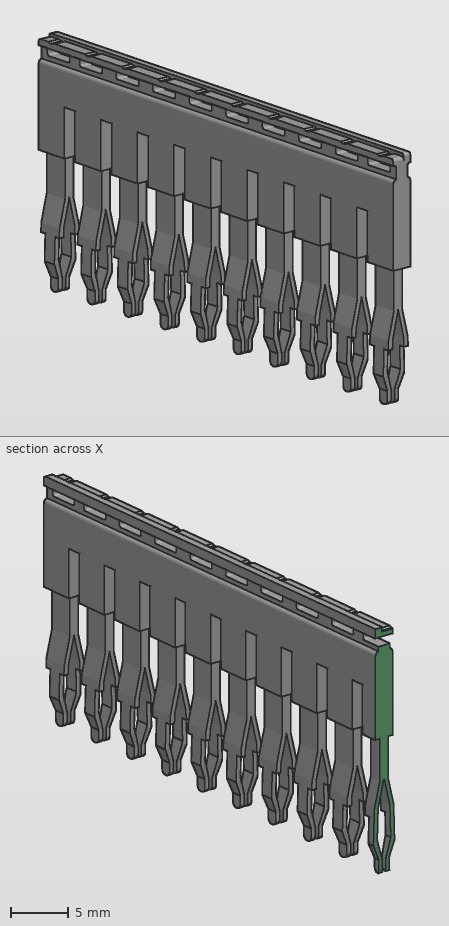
import cadquery as cq
import math

length = 48.05
height = 23.0
pin_count = 10

housing_thickness = 1.95
housing_depth = 10.45
leg_width = 3.5
leg_gap_top_depth = 5.75
pitch = (length - leg_width) / (pin_count - 1)

lip_width = 0.75
lip_front_y = housing_thickness / 2 - lip_width
ledge_width = housing_thickness - lip_width
ledge_depth = 0.3
head_depth = 0.9
head_root_radius = 0.25
head_end_radius = 0.3
neck_thickness = 1.3
shoulder_radius = 0.45
shoulder_end_depth = 2.6

window_width = 3.05
window_bottom_depth = 1.75
window_corner_radius = 0.25
end_window_shift = 0.6

notch_width = 0.85
notch_floor_width = 0.3
notch_drop = 0.12

pin_half_thickness = 0.5
split_depth = 14.25
bend_start_depth = 14.3
bend_end_depth = 16.9
bend_outer = 1.1
bend_inner = 0.62
bulge_top_depth = 19.95
bulge_bottom_depth = 20.3
bulge_outer = 1.2
bulge_inner = 0.7
tip_start_depth = 21.7
tip_outer = 0.62
tip_inner = 0.2

pin_width = 2.5
pin_step_depth = 17.8
stem_width = 1.35
tip_width = 1.05
tip_radius = 0.5


def level(depth):
    """Height of a level that lies the given depth below the top."""
    return height - depth


def pin_center(index):
    return (index - (pin_count - 1) / 2) * pitch


def head_bar(y_min, width, top_depth):
    """Full-length bar of the head with its upper corners rounded at both ends."""
    bar = cq.Workplane("XY").box(length, width, head_depth - top_depth, centered=(True, False, False))
    bar = bar.translate((0, y_min, level(head_depth)))
    return bar.edges("|Y and >Z").fillet(head_end_radius)


def head():
    lip = head_bar(lip_front_y, lip_width, 0)
    ledge = head_bar(-housing_thickness / 2, ledge_width, ledge_depth)
    return lip.union(ledge)


def neck_and_body():
    """Rounded-shoulder body with a thin neck that flares under the head; outline in (Y, Z)."""
    half = housing_thickness / 2
    neck_half = neck_thickness / 2
    root_half = neck_half + head_root_radius
    arc_center = half - shoulder_radius
    shoulder_center_z = level(shoulder_end_depth)
    shoulder_rise = math.sqrt(shoulder_radius**2 - (neck_half - arc_center) ** 2)
    shoulder_z = shoulder_center_z + shoulder_rise
    mid_angle = math.asin(shoulder_rise / shoulder_radius) / 2
    shoulder_mid_y = arc_center + shoulder_radius * math.cos(mid_angle)
    shoulder_mid_z = shoulder_center_z + shoulder_radius * math.sin(mid_angle)
    root_z = level(head_depth)
    root_end_z = root_z - head_root_radius
    root_mid_y = root_half - head_root_radius * math.sqrt(0.5)
    root_mid_z = root_end_z + head_root_radius * math.sqrt(0.5)
    outline = (
        cq.Workplane("YZ")
        .moveTo(-half, level(housing_depth))
        .lineTo(half, level(housing_depth))
        .lineTo(half, shoulder_center_z)
        .threePointArc((shoulder_mid_y, shoulder_mid_z), (neck_half, shoulder_z))
        .lineTo(neck_half, root_end_z)
        .threePointArc((root_mid_y, root_mid_z), (root_half, root_z))
        .lineTo(-root_half, root_z)
        .threePointArc((-root_mid_y, root_mid_z), (-neck_half, root_end_z))
        .lineTo(-neck_half, shoulder_z)
        .threePointArc((-shoulder_mid_y, shoulder_mid_z), (-half, shoulder_center_z))
        .close()
    )
    return outline.extrude(length / 2, both=True)


def leg_gap(index):
    """Open gap between one leg and the next."""
    gap_height = housing_depth - leg_gap_top_depth
    gap = cq.Workplane("XY").box(pitch - leg_width, housing_thickness, gap_height)
    gap_z = level((housing_depth + leg_gap_top_depth) / 2)
    return gap.translate((pin_center(index) + pitch / 2, 0, gap_z))


def window(index):
    """Rounded window through the neck; the two end windows sit closer to the middle."""
    shift = {0: end_window_shift, pin_count - 1: -end_window_shift}.get(index, 0)
    opening = cq.Workplane("XY").box(window_width, housing_thickness, window_bottom_depth - head_depth)
    opening = opening.edges("|Y").fillet(window_corner_radius)
    window_z = level((window_bottom_depth + head_depth) / 2)
    return opening.translate((pin_center(index) + shift, 0, window_z))


def notch(index):
    """Shallow trapezoidal groove across the ledge, ending at the lip."""
    x = pin_center(index)
    top = level(ledge_depth)
    outline = cq.Workplane("XZ").polyline([
        (x - notch_width / 2, top),
        (x - notch_floor_width / 2, top - notch_drop),
        (x + notch_floor_width / 2, top - notch_drop),
        (x + notch_width / 2, top),
    ]).close()
    return outline.extrude(ledge_width).translate((0, lip_front_y, 0))


def pin():
    """Contact pin at X = 0: the bent side profile trimmed to the stepped front outline."""
    outer_side = [
        (pin_half_thickness, level(housing_depth)),
        (pin_half_thickness, level(bend_start_depth)),
        (bend_outer, level(bend_end_depth)),
        (bulge_outer, level(bulge_top_depth)),
        (bulge_outer, level(bulge_bottom_depth)),
        (tip_outer, level(tip_start_depth)),
        (tip_outer, 0),
    ]
    inner_side = [
        (tip_inner, 0),
        (tip_inner, level(tip_start_depth)),
        (bulge_inner, level(bulge_top_depth)),
        (bend_inner, level(bend_end_depth)),
    ]
    half_profile = outer_side + inner_side
    mirrored = [(-y, z) for y, z in reversed(half_profile)]
    profile = cq.Workplane("YZ").polyline(half_profile + [(0, level(split_depth))] + mirrored).close()
    bent_strip = profile.extrude(pin_width / 2, both=True)

    right_edge = [
        (pin_width / 2, level(housing_depth)),
        (pin_width / 2, level(pin_step_depth)),
        (stem_width / 2, level(pin_step_depth)),
        (stem_width / 2, level(bulge_bottom_depth)),
        (tip_width / 2, level(tip_start_depth)),
        (tip_width / 2, 0),
    ]
    left_edge = [(-x, z) for x, z in reversed(right_edge)]
    front_outline = cq.Workplane("XZ").polyline(right_edge + left_edge).close()
    front_shape = front_outline.extrude(bulge_outer, both=True)
    front_shape = front_shape.faces("<Z").edges("|Y").fillet(tip_radius)
    return bent_strip.intersect(front_shape)


result = neck_and_body().union(head())
for i in range(pin_count - 1):
    result = result.cut(leg_gap(i))
for i in range(pin_count):
    result = result.cut(window(i)).cut(notch(i))
single_pin = pin()
for i in range(pin_count):
    result = result.union(single_pin.translate((pin_center(i), 0, 0)))